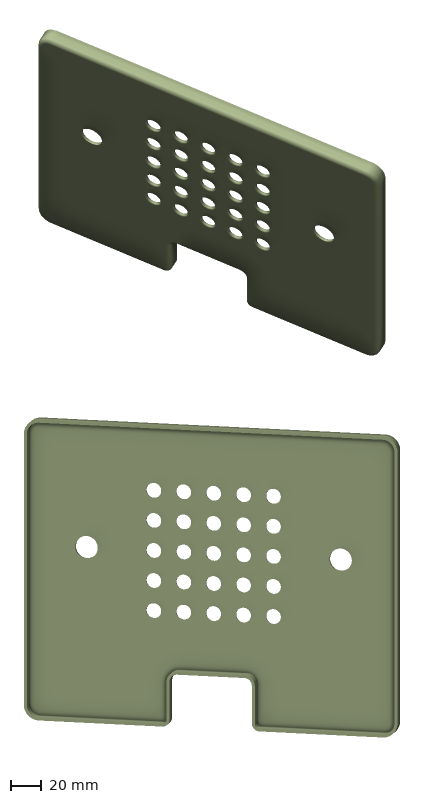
import cadquery as cq
import math

width = 250.0
height = 200.0
thickness = 10.0
corner_radius = 10.0
front_edge_radius = 3.0

skin_thickness = 2.0
wall_thickness = skin_thickness

notch_width = 55.0
notch_depth = 35.0
notch_corner_radius = 5.0

vent_diameter = 10.0
vent_edge_radius = 1.0
vent_pitch = 20.0
vents_per_side = 5
hole_level = 15.0
mount_diameter = 15.0
mount_spacing = 170.0

front_y = -thickness / 2
bottom_z = -height / 2


def make_plate():
    """Hollow-backed round-cornered plate with a bottom notch and a rounded front rim."""
    plate = cq.Workplane("XY").box(width, thickness, height).edges("|Y").fillet(corner_radius)
    notch = cq.Workplane("XY").box(notch_width, thickness, 2 * notch_depth).translate((0, 0, bottom_z))
    plate = plate.cut(notch)
    notch_corners = cq.selectors.BoxSelector(
        (-notch_width, -thickness, bottom_z - notch_depth),
        (notch_width, thickness, bottom_z + 2 * notch_depth),
    )
    plate = plate.edges("|Y").edges(notch_corners).fillet(notch_corner_radius)
    cavity = (
        plate.faces(">Y")
        .wires()
        .toPending()
        .workplane()
        .offset2D(-wall_thickness)
        .extrude(skin_thickness - thickness, combine=False)
    )
    return plate.faces("<Y").edges().fillet(front_edge_radius).cut(cavity)


def front_workplane():
    """Sketch plane on the front face at hole level; local Y is Z and the normal is -Y."""
    return cq.Workplane("XZ", origin=(0, front_y, hole_level))


def make_vent_cutters():
    """Vent holes that flare out in a convex radius at the front face."""
    vent_radius = vent_diameter / 2
    mouth_radius = vent_radius + vent_edge_radius
    arc_offset = vent_edge_radius * (1 - math.sqrt(0.5))
    cutter = (
        cq.Workplane("XY")
        .lineTo(mouth_radius, 0)
        .threePointArc((vent_radius + arc_offset, arc_offset), (vent_radius, vent_edge_radius))
        .lineTo(vent_radius, thickness)
        .lineTo(0, thickness)
        .close()
        .revolve(360, (0, 0, 0), (0, 1, 0))
        .val()
    )
    cutter = cutter.rotate((0, 0, 0), (1, 0, 0), -90)
    vents = front_workplane().rarray(vent_pitch, vent_pitch, vents_per_side, vents_per_side)
    return vents.eachpoint(cutter, useLocalCoordinates=True)


def make_mount_cutters():
    """Plain through holes left and right of the vent grid."""
    centres = [(side * mount_spacing / 2, 0) for side in (-1, 1)]
    return front_workplane().pushPoints(centres).circle(mount_diameter / 2).extrude(-thickness)


result = make_plate().cut(make_vent_cutters()).cut(make_mount_cutters())